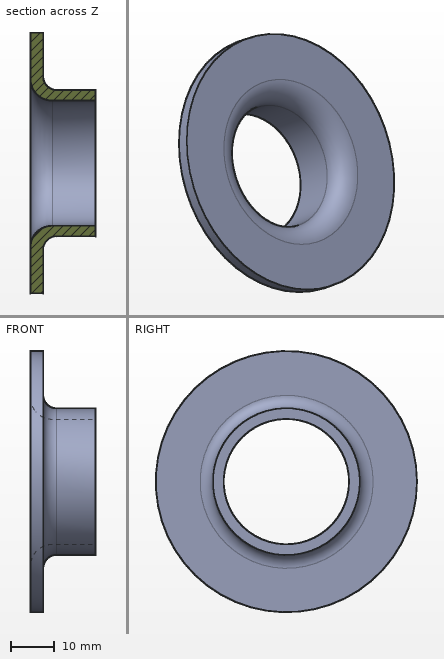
import cadquery as cq

total_length = 15.0
flange_diameter = 60.0
flange_thickness = 3.0
collar_diameter = 33.7
wall_thickness = 2.5
mouth_radius = 5.0
root_radius = 3.0

flange_outer = flange_diameter / 2
collar_outer = collar_diameter / 2
bore = collar_outer - wall_thickness


def flanged_collar():
    """Revolve the half section, drawn as (axial position, radius), about X."""
    section = (
        cq.Workplane("XY")
        .moveTo(0, bore + mouth_radius)
        .lineTo(0, flange_outer)
        .lineTo(flange_thickness, flange_outer)
        .lineTo(flange_thickness, collar_outer + root_radius)
        .radiusArc((flange_thickness + root_radius, collar_outer), -root_radius)
        .lineTo(total_length, collar_outer)
        .lineTo(total_length, bore)
        .lineTo(mouth_radius, bore)
        .radiusArc((0, bore + mouth_radius), mouth_radius)
        .close()
    )
    return section.revolve(360, (0, 0, 0), (1, 0, 0))


result = flanged_collar()